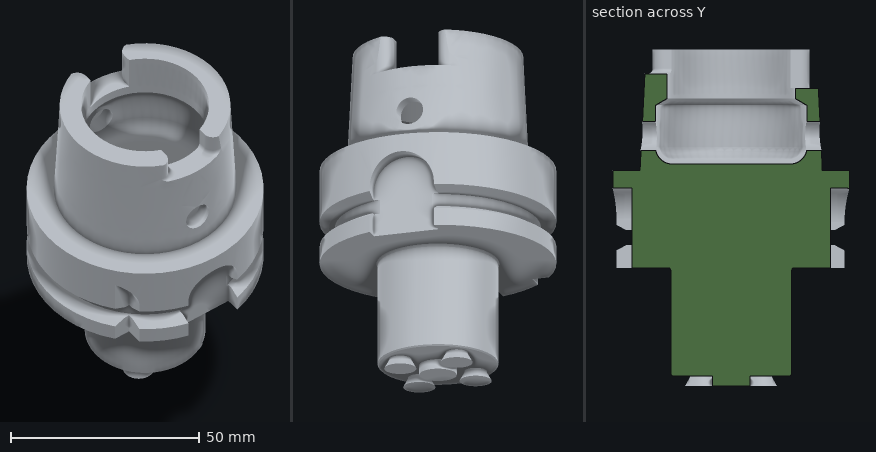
import cadquery as cq
import math

TOTAL_HEIGHT = 89.3
SHANK_BOTTOM = 2.7
FLANGE_BOTTOM = 31.25
FLANGE_TOP = 57.3
GROOVE_BOTTOM = 37.4
GROOVE_TOP = 41.35

FLANGE_RADIUS = 63.0 / 2
GROOVE_RADIUS = 27.4
GROOVE_LIP_RADIUS = 28.9
GROOVE_CHAMFER_HEIGHT = 1.4
TAPER_BASE_RADIUS = 24.3
TAPER_MOUTH_RADIUS = 22.7
SHANK_RADIUS = 16.1
SHANK_CHAMFER = 0.4
SHANK_FLARE = 0.3
SHANK_FLARE_HEIGHT = 0.7

MOUTH_BORE_RADIUS = 34.0 / 2
RECESS_RADIUS = 40.1 / 2
FLOOR_RADIUS = 15.7
MOUTH_BORE_END = 76.35
RECESS_TOP = 74.6
RECESS_BOTTOM = 63.4
CORNER_RADIUS = RECESS_RADIUS - FLOOR_RADIUS
FLOOR_HEIGHT = RECESS_BOTTOM - CORNER_RADIUS

DRIVE_HALF_WIDTH = 6.3
DRIVE_CORNER_X = 20.8
DRIVE_CORNER_RADIUS = 2.9
DEEP_DRIVE_FLOOR = 79.1
SHALLOW_DRIVE_FLOOR = 83.05
SHALLOW_FLOOR_FILLET = 1.25
DRIVE_RELIEF_ANGLE = 26.0
DRIVE_RELIEF_LENGTH = 3.6

KEYWAY_FLOOR_X = 26.4
WIDE_KEYWAY_RADIUS = 9.0
NARROW_KEYWAY_RADIUS = 8.0
KEYWAY_TOP = 52.5
NOTCH_WALL = 19.8
NOTCH_RADIUS = 7.4
NOTCH_CENTER_HEIGHT = 45.1

CROSS_HOLE_RADIUS = 7.5 / 2
CROSS_HOLE_HEIGHT = 66.4
PIN_CIRCLE_RADIUS = 11.2
PIN_ROOT_RADIUS = 6.0 / 2
PIN_TIP_RADIUS = 8.6 / 2
PIN_FLARE_HEIGHT = 2.3
PIN_COUNT = 4
CENTER_BOSS_RADIUS = 10.0 / 2

CUT_REACH = 44.65


def revolve(profile):
    """Turn a closed (radius, height) outline about the tool axis."""
    return cq.Workplane("XZ").polyline(profile).close().revolve(360, (0, 0), (0, 1))


def outer_body():
    return revolve([
        (0, SHANK_BOTTOM),
        (SHANK_RADIUS - SHANK_CHAMFER, SHANK_BOTTOM),
        (SHANK_RADIUS, SHANK_BOTTOM + SHANK_CHAMFER),
        (SHANK_RADIUS, FLANGE_BOTTOM - SHANK_FLARE_HEIGHT),
        (SHANK_RADIUS + SHANK_FLARE, FLANGE_BOTTOM),
        (FLANGE_RADIUS, FLANGE_BOTTOM),
        (FLANGE_RADIUS, GROOVE_BOTTOM - GROOVE_CHAMFER_HEIGHT),
        (GROOVE_LIP_RADIUS, GROOVE_BOTTOM),
        (GROOVE_RADIUS, GROOVE_BOTTOM),
        (GROOVE_RADIUS, GROOVE_TOP),
        (GROOVE_LIP_RADIUS, GROOVE_TOP),
        (FLANGE_RADIUS, GROOVE_TOP + GROOVE_CHAMFER_HEIGHT),
        (FLANGE_RADIUS, FLANGE_TOP),
        (TAPER_BASE_RADIUS, FLANGE_TOP),
        (TAPER_MOUTH_RADIUS, TOTAL_HEIGHT),
        (0, TOTAL_HEIGHT),
    ])


def cavity():
    diagonal = CORNER_RADIUS * math.sqrt(0.5)
    corner_middle = (FLOOR_RADIUS + diagonal, RECESS_BOTTOM - diagonal)
    return (
        cq.Workplane("XZ")
        .moveTo(0, FLOOR_HEIGHT)
        .lineTo(FLOOR_RADIUS, FLOOR_HEIGHT)
        .threePointArc(corner_middle, (RECESS_RADIUS, RECESS_BOTTOM))
        .lineTo(RECESS_RADIUS, RECESS_TOP)
        .lineTo(MOUTH_BORE_RADIUS, MOUTH_BORE_END)
        .lineTo(MOUTH_BORE_RADIUS, TOTAL_HEIGHT)
        .lineTo(0, TOTAL_HEIGHT)
        .close()
        .revolve(360, (0, 0), (0, 1))
    )


def drive_slot(floor_height):
    """Slot toward +X with rounded corners, each running out along a slanted relief."""
    center_x = DRIVE_CORNER_X - DRIVE_CORNER_RADIUS
    center_y = DRIVE_HALF_WIDTH + DRIVE_CORNER_RADIUS
    relief_angle = math.radians(DRIVE_RELIEF_ANGLE)
    corner_end_x = center_x + DRIVE_CORNER_RADIUS * math.cos(relief_angle)
    corner_end_y = center_y + DRIVE_CORNER_RADIUS * math.sin(relief_angle)
    relief_end_x = corner_end_x - DRIVE_RELIEF_LENGTH * math.sin(relief_angle)
    relief_end_y = corner_end_y + DRIVE_RELIEF_LENGTH * math.cos(relief_angle)
    return (
        cq.Workplane("XY", origin=(0, 0, floor_height))
        .moveTo(0, -DRIVE_HALF_WIDTH)
        .lineTo(center_x, -DRIVE_HALF_WIDTH)
        .threePointArc((DRIVE_CORNER_X, -center_y), (corner_end_x, -corner_end_y))
        .lineTo(relief_end_x, -relief_end_y)
        .lineTo(CUT_REACH, -relief_end_y)
        .lineTo(CUT_REACH, relief_end_y)
        .lineTo(relief_end_x, relief_end_y)
        .lineTo(corner_end_x, corner_end_y)
        .threePointArc((DRIVE_CORNER_X, center_y), (center_x, DRIVE_HALF_WIDTH))
        .lineTo(0, DRIVE_HALF_WIDTH)
        .close()
        .extrude(TOTAL_HEIGHT - floor_height)
    )


def shallow_drive_slot():
    slot = drive_slot(SHALLOW_DRIVE_FLOOR)
    side_floor_edges = slot.faces("<Z").edges("|X").edges(
        cq.selectors.BoxSelector(
            (0, -DRIVE_HALF_WIDTH - DRIVE_CORNER_RADIUS, 0),
            (DRIVE_CORNER_X, DRIVE_HALF_WIDTH + DRIVE_CORNER_RADIUS, TOTAL_HEIGHT),
        )
    )
    return side_floor_edges.fillet(SHALLOW_FLOOR_FILLET)


def round_top_slot(floor_x, center_y, radius, center_height):
    """Round-topped slot running down through the flange, open toward +X."""
    return (
        cq.Workplane("YZ", origin=(floor_x, 0, 0))
        .moveTo(center_y - radius, FLANGE_BOTTOM)
        .lineTo(center_y - radius, center_height)
        .threePointArc((center_y, center_height + radius), (center_y + radius, center_height))
        .lineTo(center_y + radius, FLANGE_BOTTOM)
        .close()
        .extrude(CUT_REACH)
    )


def keyway(radius):
    return round_top_slot(KEYWAY_FLOOR_X, 0, radius, KEYWAY_TOP - radius)


def to_minus_x(shape):
    return shape.rotate((0, 0, 0), (0, 0, 1), 180)


def cross_hole():
    return (
        cq.Workplane("YZ", origin=(-CUT_REACH, 0, CROSS_HOLE_HEIGHT))
        .circle(CROSS_HOLE_RADIUS)
        .extrude(2 * CUT_REACH)
    )


def flared_pin():
    return revolve([
        (0, 0),
        (PIN_TIP_RADIUS, 0),
        (PIN_ROOT_RADIUS, PIN_FLARE_HEIGHT),
        (PIN_ROOT_RADIUS, SHANK_BOTTOM),
        (0, SHANK_BOTTOM),
    ])


body = outer_body().cut(cavity()).cut(cross_hole())

body = body.cut(to_minus_x(drive_slot(DEEP_DRIVE_FLOOR)))
body = body.cut(shallow_drive_slot())

body = body.cut(to_minus_x(keyway(WIDE_KEYWAY_RADIUS)))
body = body.cut(keyway(NARROW_KEYWAY_RADIUS))
body = body.cut(
    round_top_slot(NOTCH_WALL, -NOTCH_WALL - NOTCH_RADIUS, NOTCH_RADIUS, NOTCH_CENTER_HEIGHT)
)

body = body.union(cq.Workplane("XY").circle(CENTER_BOSS_RADIUS).extrude(SHANK_BOTTOM))
for index in range(PIN_COUNT):
    angle = math.radians(45 + index * 360 / PIN_COUNT)
    pin_x = PIN_CIRCLE_RADIUS * math.cos(angle)
    pin_y = PIN_CIRCLE_RADIUS * math.sin(angle)
    body = body.union(flared_pin().translate((pin_x, pin_y, 0)))

result = body